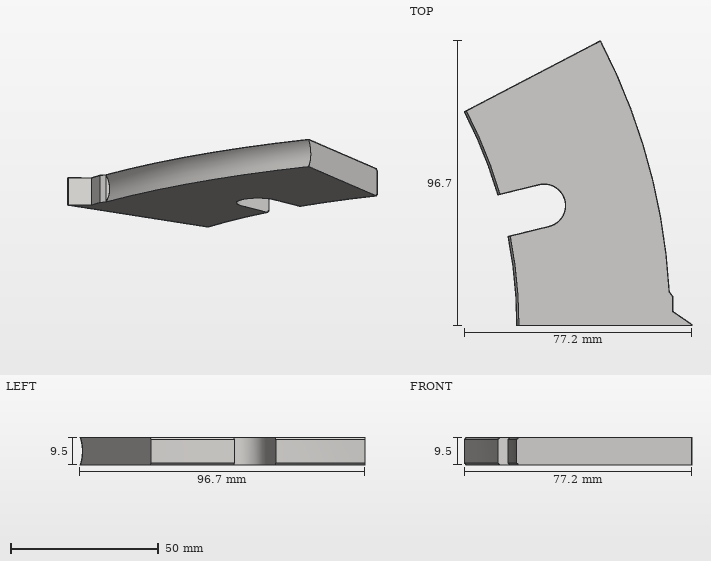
import cadquery as cq
import math

thickness = 9.5
outer_radius = 209.0
inner_radius = 156.9
sector_height = 96.7
sector_angle = math.asin(sector_height / outer_radius)
inner_chamfer = 0.8

slot_width = 14.5
slot_center_radius = 171.1
slot_angle = sector_angle / 2

total_width = 77.2
hook_tip_x = inner_radius * math.cos(sector_angle) + total_width
hook_tip_height = 0.4
hook_flat_x = 209.9
hook_flat_bottom = 4.8
hook_flat_top = 9.9
hook_step_top = 11.5

groove_depth = 1.6
groove_radius = ((thickness / 2) ** 2 + groove_depth**2) / (2 * groove_depth)


def on_outer_edge(height):
    return (math.sqrt(outer_radius**2 - height**2), height)


def make_sector():
    """Revolved sector with both inner edges chamfered."""
    half = thickness / 2
    section = (
        cq.Workplane("XZ")
        .moveTo(inner_radius, half - inner_chamfer)
        .lineTo(inner_radius + inner_chamfer, half)
        .lineTo(outer_radius, half)
        .lineTo(outer_radius, -half)
        .lineTo(inner_radius + inner_chamfer, -half)
        .lineTo(inner_radius, inner_chamfer - half)
        .close()
    )
    return section.revolve(math.degrees(sector_angle), (0, 0), (0, 1))


def make_slot():
    length = slot_center_radius
    return (
        cq.Workplane("XY")
        .center(length / 2, 0)
        .rect(length, slot_width)
        .extrude(thickness / 2, both=True)
        .union(
            cq.Workplane("XY")
            .center(slot_center_radius, 0)
            .circle(slot_width / 2)
            .extrude(thickness / 2, both=True)
        )
        .rotate((0, 0, 0), (0, 0, 1), math.degrees(slot_angle))
    )


def make_groove():
    """Ring of circular section that starts at the hook and runs past the upper end face."""
    start_angle = math.asin(hook_step_top / outer_radius)
    center_radius = outer_radius - groove_depth + groove_radius
    return (
        cq.Workplane("XZ")
        .center(center_radius, 0)
        .circle(groove_radius)
        .revolve(math.degrees(sector_angle), (-center_radius, 0), (-center_radius, 1))
        .rotate((0, 0, 0), (0, 0, 1), math.degrees(start_angle))
    )


def make_hook():
    root_x = outer_radius - 2 * groove_depth
    return (
        cq.Workplane("XY")
        .moveTo(root_x, 0)
        .lineTo(hook_tip_x, 0)
        .lineTo(hook_tip_x, hook_tip_height)
        .lineTo(hook_flat_x, hook_flat_bottom)
        .lineTo(hook_flat_x, hook_flat_top)
        .lineTo(*on_outer_edge(hook_step_top))
        .lineTo(root_x, hook_step_top)
        .close()
        .extrude(thickness / 2, both=True)
    )


result = make_sector().cut(make_slot()).union(make_hook()).cut(make_groove())